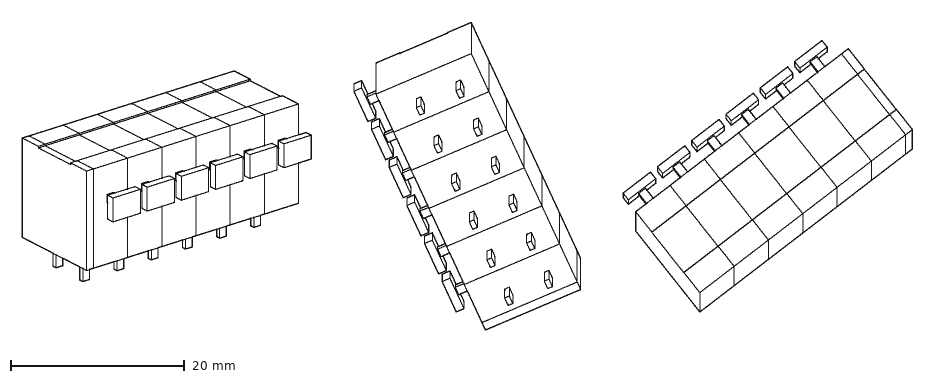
import cadquery as cq

overall_x = 15.0
overall_y = 31.0
overall_z = 16.0

module_count = 6
plate_thickness = 1.0
module_pitch = (overall_y - plate_thickness) / module_count

stem_length = 2.0
stem_size = 1.0
head_thickness = 1.0
head_width = 4.0
head_height = 3.0
button_below_top = 4.25

pin_length = 3.5
pin_thickness = 0.6
pin_width = 1.0
pin_pitch = 5.0
first_pin_x = 2.7
pin_from_front = 2.1

body_width = overall_x - stem_length - head_thickness
body_height = overall_z - pin_length
recess_margin = 3.0
recess_depth = 0.2


def profile_slab(y_start, thickness):
    """Housing cross-section in XZ, extruded toward +Y from y_start."""
    recess_floor = body_height - recess_depth
    recess_end = body_width - recess_margin
    outline = [
        (0, 0),
        (body_width, 0),
        (body_width, body_height),
        (recess_end, body_height),
        (recess_end, recess_floor),
        (recess_margin, recess_floor),
        (recess_margin, body_height),
        (0, body_height),
    ]
    slab = cq.Workplane("XZ").polyline(outline).close().extrude(-thickness)
    return slab.translate((0, y_start, 0))


def push_button(y_center):
    """Square stem with a flat rectangular head, pointing along +X."""
    z_center = body_height - button_below_top
    button = (
        cq.Workplane("YZ", origin=(body_width, y_center, z_center))
        .rect(stem_size, stem_size)
        .extrude(stem_length)
        .faces(">X")
        .workplane()
        .rect(head_width, head_height)
        .extrude(head_thickness)
    )
    return button


def solder_pins(y_center):
    """Two flat pins hanging below the housing, one pitch apart in X."""
    pin_centers = [(first_pin_x, y_center), (first_pin_x + pin_pitch, y_center)]
    pins = cq.Workplane("XY").pushPoints(pin_centers).rect(pin_thickness, pin_width)
    return pins.extrude(-pin_length)


def terminal_module(y_start):
    """One terminal: housing slice, push button and pins as a single solid."""
    housing = profile_slab(y_start, module_pitch)
    button = push_button(y_start + module_pitch / 2)
    pins = solder_pins(y_start + pin_from_front)
    return housing.union(button).union(pins)


end_plate = profile_slab(0, plate_thickness)

modules = []
for index in range(module_count):
    module = terminal_module(plate_thickness + index * module_pitch)
    modules.append(module.val())

result = cq.Compound.makeCompound([end_plate.val(), *modules])